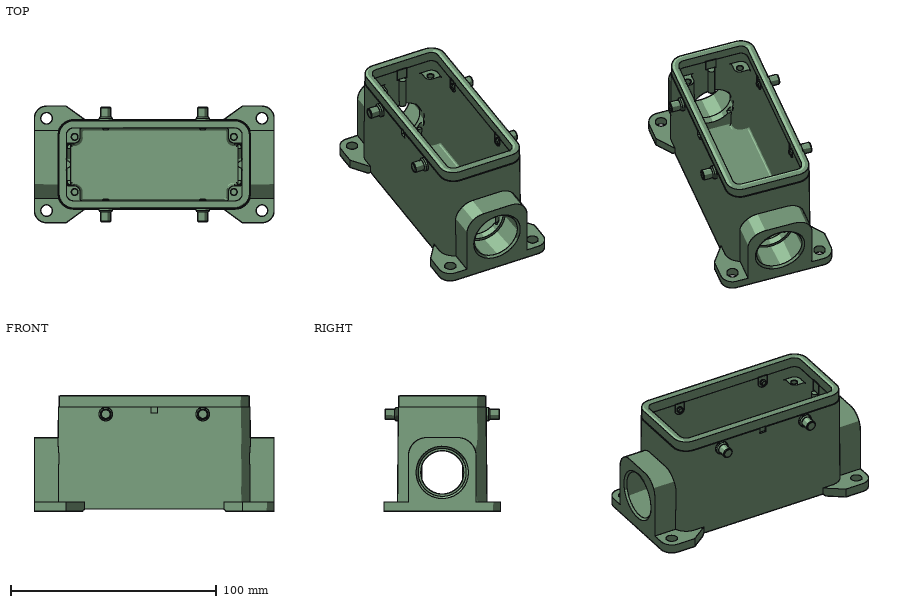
import cadquery as cq
import math

rim_z = 51.0
base_z = 1.1
outer_half_x = 46.75
outer_half_y = 21.45
outer_corner_radius = 7.5
outer_draft = 0.5
outer_spread = (rim_z - base_z) * math.tan(math.radians(outer_draft))
rim_chamfer = 0.2

cavity_half_x = 42.9
cavity_half_y = 17.75
cavity_corner_radius = 3.5
cavity_draft = 1.0
ledge_z = 45.0
floor_z = 3.6
floor_fillet = 0.9

post_inner_x = 36.2
post_inner_y = 10.45
post_round = 2.8
post_draft = 1.3
post_fillet = 1.0
post_hole_x = 38.8
post_hole_y = 13.45
post_hole_diameter = 3.0
post_hole_depth = 15.0
post_hole_chamfer = 0.2

pad_inner_x = 40.75
pad_top_z = 12.0
rib_radius = 1.7
recess_width = 5.3
end_recess_depth = 0.4

entry_end_x = 58.5
entry_half_width = 16.5
entry_top_z = 36.0
entry_round = 9.0
entry_axis_z = 19.0
bore_diameter = 23.4
bore_mouth_diameter = 25.5
bore_depth = 14.0
wall_hole_diameter = 21.0

foot_half_y = 28.5
foot_thickness = 4.65
foot_corner_radius = 6.0
foot_straight_x = 43.0
foot_inner_x = 33.9
mount_hole_x = 52.5
mount_hole_y = 22.5
mount_hole_diameter = 5.5

notch_width = 3.4
notch_height = 3.0
notch_depth = 1.0

pin_x = 23.65
pin_z = 47.4
pin_tip_y = 28.0
pin_diameter = 5.0
pin_tip_chamfer = 0.4
collar_seat_y = 21.4
collar_rim_y = 22.5
collar_end_y = 23.2
collar_diameter = 6.6
collar_end_diameter = 5.2
tail_diameter = 3.0
tail_end_y = 16.9
tail_tip_chamfer = 0.5
pin_recess_y = 18.2

seal_half_x = 46.4
seal_half_y = 21.25
seal_corner_radius = 7.1
seal_width = 3.5
seal_top_z = 56.48
seal_crown = 0.3


def rounded_prism(half_x, half_y, radius, z, height, draft=0.0):
    """Rounded rectangle extruded from z; a negative height extrudes downwards."""
    outline = cq.Sketch().rect(2 * half_x, 2 * half_y).vertices().fillet(radius)
    return cq.Workplane("XY", origin=(0, 0, z)).placeSketch(outline).extrude(height, taper=draft)


def x_cylinder(diameter, x_start, x_end):
    """Cylinder on the cable entry axis."""
    plane = cq.Workplane("YZ", origin=(x_start, 0, entry_axis_z))
    return plane.circle(diameter / 2).extrude(x_end - x_start)


def both_ends(shape):
    """Shape at the +X end together with its mirror image at the -X end."""
    return shape.union(shape.mirror("YZ"))


def both_sides(shape):
    """Shape at the +Y side together with its mirror image at the -Y side."""
    return shape.union(shape.mirror("XZ"))


def outer_shell():
    shell = rounded_prism(
        outer_half_x + outer_spread,
        outer_half_y + outer_spread,
        outer_corner_radius + outer_spread,
        base_z,
        rim_z - base_z,
        outer_draft,
    )
    return shell.faces(">Z").edges().chamfer(rim_chamfer)


def entry_block():
    """Round-shouldered block around the cable entry at the +X end."""
    start_x = outer_half_x - outer_corner_radius
    block = cq.Workplane("XY").box(
        entry_end_x - start_x, 2 * entry_half_width, entry_top_z, centered=(False, True, False)
    )
    return block.translate((start_x, 0, 0)).edges("|X and >Z").fillet(entry_round)


def foot():
    """Mounting plate at the +X end, narrowing towards the long walls."""
    wall_y = outer_half_y + outer_spread
    plate = (
        cq.Workplane("XY")
        .moveTo(foot_inner_x, -wall_y)
        .lineTo(foot_straight_x, -foot_half_y)
        .lineTo(entry_end_x, -foot_half_y)
        .lineTo(entry_end_x, foot_half_y)
        .lineTo(foot_straight_x, foot_half_y)
        .lineTo(foot_inner_x, wall_y)
        .close()
        .extrude(foot_thickness)
    )
    plate = plate.edges("|Z and >X").fillet(foot_corner_radius)
    plate = plate.edges("|Y and <X and <Z").chamfer(base_z)
    holes = (
        cq.Workplane("XY")
        .pushPoints([(mount_hole_x, -mount_hole_y), (mount_hole_x, mount_hole_y)])
        .circle(mount_hole_diameter / 2)
        .extrude(foot_thickness)
    )
    return plate.cut(holes)


def screw_post():
    """Drafted post that fills the +X +Y corner of the cavity up to the ledge."""
    height = ledge_z - floor_z
    spread = height * math.tan(math.radians(post_draft))
    size_x = outer_half_x - post_inner_x
    size_y = outer_half_y - post_inner_y
    outline = (
        cq.Sketch()
        .rect(size_x + 2 * spread, size_y + 2 * spread)
        .vertices("<X and <Y")
        .fillet(post_round + spread)
    )
    center = (post_inner_x + size_x / 2, post_inner_y + size_y / 2, floor_z)
    return cq.Workplane("XY", origin=center).placeSketch(outline).extrude(height, taper=post_draft)


def fillet_post_roots(pocket):
    """Round the upright inner corners where the posts meet the cavity walls."""
    mid_z = (floor_z + ledge_z) / 2
    reach = 2 * post_fillet
    roots = []
    for x, y in [(post_inner_x, cavity_half_y), (cavity_half_x, post_inner_y)]:
        for side_x in (-1, 1):
            for side_y in (-1, 1):
                root = cq.Vector(side_x * x, side_y * y, mid_z)
                corner = cq.Vector(reach, reach, reach)
                box = cq.selectors.BoxSelector((root - corner).toTuple(), (root + corner).toTuple())
                roots += pocket.edges(box).vals()
    return pocket.newObject(roots).fillet(post_fillet)


def end_wall_pad():
    """Thicker lower part of the +X end wall, between the two posts."""
    pad = cq.Workplane("XY").box(
        outer_half_x - pad_inner_x, 2 * post_hole_y, pad_top_z - floor_z, centered=(False, True, False)
    )
    return pad.translate((pad_inner_x, 0, floor_z))


def end_wall_rib():
    """Half-round rib on the +X end wall, above the pad."""
    plane = cq.Workplane("XY", origin=(pad_inner_x + rib_radius, 0, pad_top_z))
    return plane.circle(rib_radius).extrude(ledge_z - pad_top_z)


def cavity():
    mouth = rounded_prism(cavity_half_x, cavity_half_y, cavity_corner_radius, ledge_z, rim_z - ledge_z)
    pocket = rounded_prism(
        cavity_half_x, cavity_half_y, cavity_corner_radius, ledge_z, floor_z - ledge_z, cavity_draft
    )
    pocket = pocket.cut(both_ends(both_sides(screw_post())))
    pocket = fillet_post_roots(pocket)
    pocket = pocket.cut(both_ends(end_wall_pad()))
    pocket = pocket.faces("<Z").edges().fillet(floor_fillet)
    pocket = pocket.cut(both_ends(end_wall_rib()))
    return mouth.union(pocket)


def end_recess():
    """Shallow flat recess in the +X end wall between the ledge and the rim."""
    recess = cq.Workplane("XY").box(
        end_recess_depth, recess_width, rim_z - ledge_z, centered=(False, True, False)
    )
    return recess.translate((cavity_half_x, 0, ledge_z))


def pin_recess():
    """Round-bottomed recess inside the +Y wall, behind one pin."""
    depth = pin_recess_y - tail_end_y
    plane = cq.Workplane("XZ", origin=(pin_x, pin_recess_y, pin_z))
    round_bottom = plane.circle(recess_width / 2).extrude(depth)
    upper = plane.center(0, (rim_z - pin_z) / 2).rect(recess_width, rim_z - pin_z).extrude(depth)
    return round_bottom.union(upper)


def post_hole():
    """Blind screw hole with a chamfered mouth in the +X +Y post."""
    hole = cq.Workplane("XY", origin=(post_hole_x, post_hole_y, ledge_z - post_hole_depth))
    hole = hole.circle(post_hole_diameter / 2).extrude(post_hole_depth)
    mouth = cq.Workplane("XY", origin=(post_hole_x, post_hole_y, ledge_z))
    mouth = mouth.circle(post_hole_diameter / 2 + post_hole_chamfer).extrude(-post_hole_chamfer, taper=45)
    return hole.union(mouth)


def entry_bore():
    """Bore from the +X end, with a chamfered mouth, and the smaller hole through the wall."""
    bore = x_cylinder(bore_diameter, entry_end_x - bore_depth, entry_end_x)
    wall_hole = x_cylinder(wall_hole_diameter, pad_inner_x - rib_radius, entry_end_x)
    mouth = cq.Workplane("YZ", origin=(entry_end_x, 0, entry_axis_z))
    mouth_depth = (bore_mouth_diameter - bore_diameter) / 2
    mouth = mouth.circle(bore_mouth_diameter / 2).extrude(-mouth_depth, taper=45)
    return bore.union(wall_hole).union(mouth)


def wall_notch():
    """Rectangular notch at the middle of the +Y wall, open at the rim."""
    notch = cq.Workplane("XY").box(
        notch_width, 2 * notch_depth, notch_height, centered=(True, True, False)
    )
    return notch.translate((0, outer_half_y, rim_z - notch_height))


def make_housing(pins):
    housing = outer_shell().union(both_ends(entry_block())).union(both_ends(foot()))
    housing = housing.cut(cavity())
    housing = housing.cut(both_ends(end_recess()))
    housing = housing.cut(both_ends(both_sides(pin_recess())))
    housing = housing.cut(both_ends(both_sides(post_hole())))
    housing = housing.cut(both_ends(entry_bore()))
    housing = housing.cut(both_sides(wall_notch()))
    for pin in pins:
        housing = housing.cut(pin)
    return housing


def make_pin(x, side):
    """Collared pin through a long wall; side is +1 for the +Y wall and -1 for the -Y wall."""
    pin_radius = pin_diameter / 2
    tail_radius = tail_diameter / 2
    profile = [
        (0, tail_end_y),
        (tail_radius - tail_tip_chamfer, tail_end_y),
        (tail_radius, tail_end_y + tail_tip_chamfer),
        (tail_radius, collar_seat_y),
        (collar_diameter / 2, collar_seat_y),
        (collar_diameter / 2, collar_rim_y),
        (collar_end_diameter / 2, collar_end_y),
        (pin_radius, collar_end_y),
        (pin_radius, pin_tip_y - pin_tip_chamfer),
        (pin_radius - pin_tip_chamfer, pin_tip_y),
        (0, pin_tip_y),
    ]
    pin = cq.Workplane("XY").polyline(profile).close().revolve(360, (0, 0, 0), (0, 1, 0))
    if side < 0:
        pin = pin.mirror("XZ")
    return pin.translate((x, 0, pin_z))


def make_seal():
    """Ring with a crowned top, lying on the rim of the housing."""
    half_width = seal_width / 2
    center_y = seal_half_y - half_width
    center_line = cq.Sketch().rect(2 * seal_half_x - seal_width, 2 * center_y)
    center_line = center_line.vertices().fillet(seal_corner_radius - half_width)
    disc = cq.Workplane("XY", origin=(0, 0, rim_z)).placeSketch(center_line).extrude(1)
    path = disc.faces("<Z").wires().toPending()
    shoulder_z = seal_top_z - seal_crown
    section = (
        cq.Workplane("YZ")
        .moveTo(center_y - half_width, rim_z)
        .lineTo(center_y + half_width, rim_z)
        .lineTo(center_y + half_width, shoulder_z)
        .threePointArc((center_y, seal_top_z), (center_y - half_width, shoulder_z))
        .close()
    )
    return section.sweep(path)


pins = [make_pin(x, side) for x in (-pin_x, pin_x) for side in (-1, 1)]
housing = make_housing(pins)
seal = make_seal()

result = cq.Compound.makeCompound([housing.val(), seal.val(), *[pin.val() for pin in pins]])